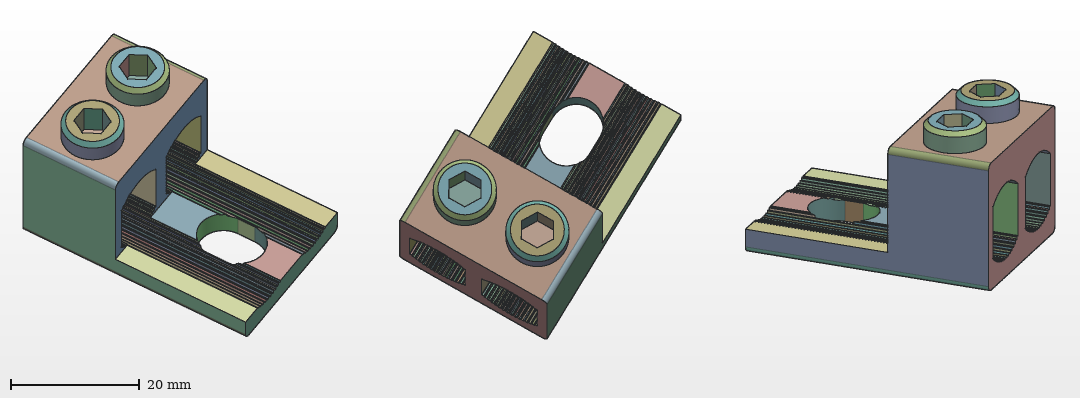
import cadquery as cq
import math

length = 41.0
width = 26.6
total_height = 25.0
block_length = 17.0
block_height = 21.5
plate_thickness = 3.98
edge_radius = 1.0

bore_spacing = 13.0
bore_width = 10.0
bore_top = 15.75
bore_bottom = 3.05
arch_radius = 7.3
tooth_height = 0.308
tooth_base = 0.55
tooth_crest = 0.15
tooth_pitch = 5.8
tooth_root = 0.1
tooth_count = 15

screw_spacing = 13.08
screw_radius = 4.9
screw_chamfer = 0.75
screw_shank_end = 10.82
screw_tip_z = 8.9
screw_tip_radius = 1.72
socket_flats = 5.0
socket_depth = 5.0

slot_center_x = 30.0
slot_length = 11.5
slot_width = 8.4


def make_body():
    """Terminal block with a flat mounting plate extending along +X."""
    block = (
        cq.Workplane("XY")
        .box(length, width, block_height, centered=(False, True, False))
        .edges("|X")
        .fillet(edge_radius)
    )
    above_plate = (
        cq.Workplane("XY", origin=(block_length, 0, plate_thickness))
        .box(length, width, block_height, centered=(False, True, False))
    )
    return block.cut(above_plate)


def make_bore(y):
    """Bore cutter along X; radial teeth stand up from its arc-shaped floor."""
    half_width = bore_width / 2
    roof_center_z = bore_top - arch_radius
    floor_center_z = bore_bottom + arch_radius
    corner_offset = math.sqrt(arch_radius**2 - half_width**2)
    bore = (
        cq.Workplane("YZ")
        .moveTo(y - half_width, floor_center_z - corner_offset)
        .threePointArc((y, bore_bottom), (y + half_width, floor_center_z - corner_offset))
        .lineTo(y + half_width, roof_center_z + corner_offset)
        .threePointArc((y, bore_top), (y - half_width, roof_center_z + corner_offset))
        .close()
        .extrude(length)
    )
    tooth = (
        cq.Workplane("YZ")
        .center(y, bore_bottom)
        .polyline([
            (-tooth_base / 2, -tooth_root),
            (tooth_base / 2, -tooth_root),
            (tooth_base / 2, 0),
            (tooth_crest / 2, tooth_height),
            (-tooth_crest / 2, tooth_height),
            (-tooth_base / 2, 0),
        ])
        .close()
        .extrude(length)
    )
    floor_axis = ((0, y, floor_center_z), (1, y, floor_center_z))
    for index in range(tooth_count):
        angle = (index - (tooth_count - 1) / 2) * tooth_pitch
        bore = bore.cut(tooth.rotate(*floor_axis, angle))
    return bore


def make_screw():
    """Set screw centred at (0, 0) with a chamfered top and conical tip, and its hex socket cutter."""
    profile = [
        (0, screw_tip_z),
        (screw_tip_radius, screw_tip_z),
        (screw_radius, screw_shank_end),
        (screw_radius, total_height - screw_chamfer),
        (screw_radius - screw_chamfer, total_height),
        (0, total_height),
    ]
    screw = cq.Workplane("XZ").polyline(profile).close().revolve(360, (0, 0), (0, 1))
    socket_diameter = socket_flats / math.cos(math.pi / 6)
    socket = (
        cq.Workplane("XY", origin=(0, 0, total_height - socket_depth))
        .transformed(rotate=(0, 0, 90))
        .polygon(6, socket_diameter)
        .extrude(socket_depth)
    )
    return screw, socket


def make_slot():
    """Round-ended mounting slot through the plate."""
    return (
        cq.Workplane("XY")
        .center(slot_center_x, 0)
        .slot2D(slot_length, slot_width)
        .extrude(plate_thickness)
    )


result = make_body().cut(make_slot())
for bore_y in (-bore_spacing / 2, bore_spacing / 2):
    result = result.cut(make_bore(bore_y))
screw, socket = make_screw()
for screw_y in (-screw_spacing / 2, screw_spacing / 2):
    place = (block_length / 2, screw_y, 0)
    result = result.union(screw.translate(place)).cut(socket.translate(place))